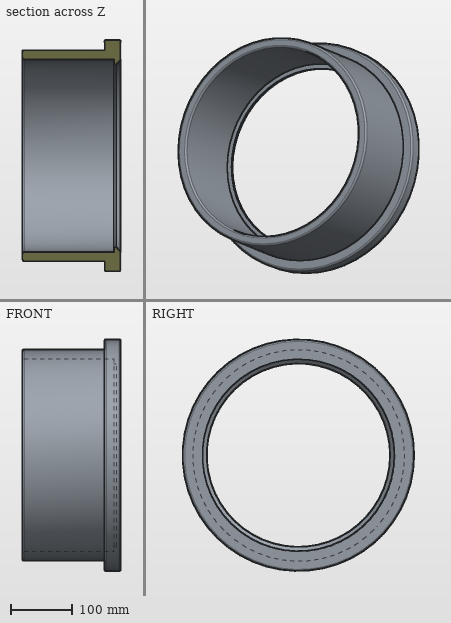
import cadquery as cq

total_length = 161.0
flange_diameter = 379.0
flange_thickness = 27.0
sleeve_diameter = 346.0
bore_diameter = 315.0
lip_diameter = 299.5
lip_thickness = 11.5
lip_chamfer = 7.2
edge_radius = 3.0

sleeve_length = total_length - flange_thickness


def cylinder(diameter, start, length):
    """Solid cylinder along +X from the given start position."""
    return cq.Workplane("YZ", origin=(start, 0, 0)).circle(diameter / 2).extrude(length)


flange = cylinder(flange_diameter, sleeve_length, flange_thickness).edges().fillet(edge_radius)

body = cylinder(sleeve_diameter, 0, total_length).union(flange)

body = body.cut(cylinder(bore_diameter, 0, total_length - lip_thickness))
body = body.cut(cylinder(lip_diameter, 0, total_length))

body = body.faces(">X").edges(cq.selectors.RadiusNthSelector(0)).chamfer(lip_chamfer)

result = body.faces("<X").edges().fillet(edge_radius)